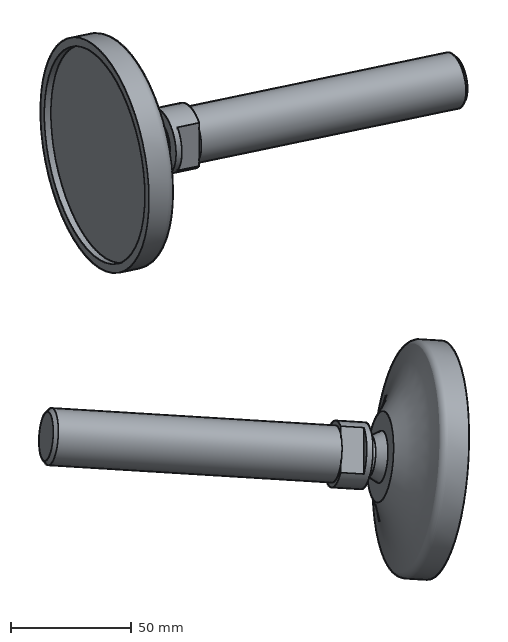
import cadquery as cq

total_length = 169.0
half_length = total_length / 2

foot_radius = 100.0 / 2
rim_height = 9.3
rim_rounding_height = 3.0
dome_base_radius = 48.0
dome_top_radius = 19.1
dome_top_height = 23.5
dome_mid_radius = 32.1
dome_mid_height = 16.5
recess_radius = 92.5 / 2
recess_depth = 3.0

cone_base_radius = 11.0
neck_radius = 17.0 / 2
cone_top_height = 28.0
collar_radius = 28.0 / 2
collar_bottom_height = 31.0
flats_bottom_height = 33.6
collar_top_height = 43.8
flats_width = 20.0
stud_radius = 24.0 / 2
stud_chamfer = 1.7


def make_foot():
    """Round foot plate with a concave dome and a shallow recess underneath."""
    rim_top_height = rim_height + rim_rounding_height
    outline = (
        cq.Workplane("XY")
        .lineTo(foot_radius, 0)
        .lineTo(foot_radius, rim_height)
        .tangentArcPoint((dome_base_radius, rim_top_height), relative=False)
        .threePointArc((dome_mid_radius, dome_mid_height), (dome_top_radius, dome_top_height))
        .lineTo(0, dome_top_height)
        .close()
    )
    foot = outline.revolve(360, (0, 0), (0, 1))
    recess = cq.Workplane("XZ").circle(recess_radius).extrude(-recess_depth)
    return foot.cut(recess)


def make_stem():
    """Cone, neck, collar and chamfered stud turned about the Y axis."""
    outline = (
        cq.Workplane("XY")
        .moveTo(0, dome_top_height)
        .lineTo(cone_base_radius, dome_top_height)
        .lineTo(neck_radius, cone_top_height)
        .lineTo(neck_radius, collar_bottom_height)
        .lineTo(collar_radius, collar_bottom_height)
        .lineTo(collar_radius, collar_top_height)
        .lineTo(stud_radius, collar_top_height)
        .lineTo(stud_radius, total_length - stud_chamfer)
        .lineTo(stud_radius - stud_chamfer, total_length)
        .lineTo(0, total_length)
        .close()
    )
    return outline.revolve(360, (0, 0), (0, 1))


def make_flat_cutter(side):
    """Block that cuts one wrench flat into the collar; side is -1 or 1 along X."""
    flats_length = collar_top_height - flats_bottom_height
    return cq.Workplane("XY").box(collar_radius, flats_length, 2 * collar_radius).translate(
        (
            side * (flats_width + collar_radius) / 2,
            flats_bottom_height + flats_length / 2,
            0,
        )
    )


stem = make_stem()
for flat_side in (-1, 1):
    stem = stem.cut(make_flat_cutter(flat_side))

result = make_foot().union(stem).translate((0, -half_length, 0))